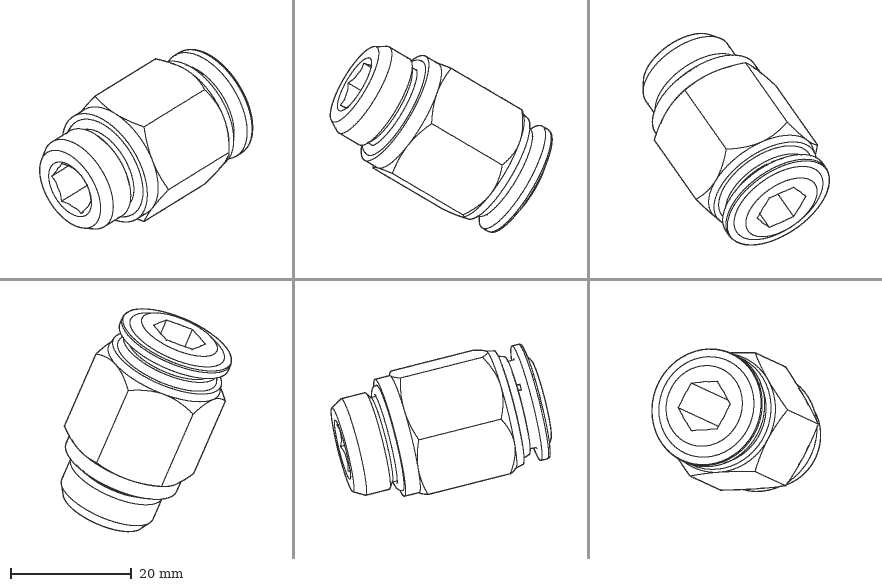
import cadquery as cq
import math

length = 34.0
hex_flats = 20.0
collar_radius = hex_flats / 2
hex_corner_radius = collar_radius / math.cos(math.pi / 6)

thread_chamfer_end = 1.87
thread_end = 5.95
relief_end = 6.65
seal_start = 7.2
collar_start = 8.1
hex_start = 10.6
hex_end = 27.15
shoulder_end = 28.5
cap_end = 29.92
flange_start = 31.55
flange_chamfer_start = 32.67
flange_end = 32.98

thread_tip_radius = 7.17
thread_radius = 8.25
relief_radius = 7.2
seal_radius = 8.98
shoulder_tip_radius = 9.72
cap_radius = 8.85
cap_tip_radius = 8.35
neck_radius = 7.48
flange_radius = 9.8
flange_face_radius = 9.7
button_base_radius = 8.43
button_tip_radius = 6.75
neck_fillet = 0.48

notch_width = 1.02
notch_length = 0.65
notch_depth = 0.17

edge_search_margin = 0.05

front_chamfer_angle = 30.0
back_chamfer_angle = 45.0

socket_flats = 8.0
bore_radius = 4.08
mouth_radius = 5.03
mouth_end_radius = socket_flats / 2
mouth_angle = 35.0
mouth_depth = (mouth_radius - mouth_end_radius) * math.tan(math.radians(mouth_angle))


def revolve_profile(points):
    """Solid of revolution about Y from (radius, station) points, closed along the axis."""
    axis_start = (0, points[0][1])
    axis_end = (0, points[-1][1])
    outline = cq.Workplane("XY").polyline([axis_start] + points + [axis_end]).close()
    return outline.revolve(360, (0, 0, 0), (0, 1, 0))


def hex_prism(flats, start, end):
    """Hexagonal bar along Y with corners on the X axis."""
    corner_diameter = flats / math.cos(math.pi / 6)
    plane = cq.Workplane("XZ", origin=(0, start, 0))
    return plane.polygon(6, corner_diameter).extrude(start - end)


def make_turned_body():
    body = revolve_profile([
        (thread_tip_radius, 0),
        (thread_radius, thread_chamfer_end),
        (thread_radius, thread_end),
        (relief_radius, relief_end),
        (relief_radius, collar_start),
        (collar_radius, collar_start),
        (collar_radius, hex_end),
        (shoulder_tip_radius, shoulder_end),
        (cap_radius, shoulder_end),
        (cap_tip_radius, cap_end),
        (neck_radius, cap_end),
        (neck_radius, flange_start),
        (flange_radius, flange_start),
        (flange_radius, flange_chamfer_start),
        (flange_face_radius, flange_end),
        (button_base_radius, flange_end),
        (button_tip_radius, length),
    ])
    corner_box = cq.selectors.BoxSelector(
        (-flange_radius, flange_start - edge_search_margin, -flange_radius),
        (flange_radius, flange_start + edge_search_margin, flange_radius),
        boundingbox=True,
    )
    neck_corner = cq.selectors.RadiusNthSelector(0)
    return body.edges(corner_box).edges("%CIRCLE").edges(neck_corner).fillet(neck_fillet)


def make_seal():
    """Half-round sealing ring against the front of the collar."""
    section_radius = collar_start - seal_start
    center_radius = seal_radius - section_radius
    section = (
        cq.Workplane("XY")
        .moveTo(seal_radius, collar_start)
        .threePointArc((center_radius, seal_start), (center_radius - section_radius, collar_start))
        .close()
    )
    return section.revolve(360, (0, 0, 0), (0, 1, 0))


def make_hexagon():
    corner_rise = hex_corner_radius - collar_radius
    front_drop = corner_rise * math.tan(math.radians(front_chamfer_angle))
    back_drop = corner_rise * math.tan(math.radians(back_chamfer_angle))
    envelope = revolve_profile([
        (collar_radius, hex_start),
        (hex_corner_radius, hex_start + front_drop),
        (hex_corner_radius, hex_end - back_drop),
        (collar_radius, hex_end),
    ])
    return hex_prism(hex_flats, hex_start, hex_end).intersect(envelope)


def make_passage():
    socket = hex_prism(socket_flats, 0, length)
    bore = cq.Workplane("XZ").circle(bore_radius).extrude(-length)
    mouth = revolve_profile([(mouth_radius, 0), (mouth_end_radius, mouth_depth)])
    return socket.union(bore).union(mouth)


def make_notch():
    """Cutter with a floor concentric with the neck."""
    floor_radius = neck_radius - notch_depth
    plane = cq.Workplane("XZ", origin=(0, cap_end, 0))
    sleeve = plane.circle(neck_radius + notch_depth).circle(floor_radius).extrude(-notch_length)
    window = plane.center(0, neck_radius).rect(notch_width, neck_radius).extrude(-notch_length)
    return sleeve.intersect(window)


result = make_turned_body().union(make_seal()).union(make_hexagon()).cut(make_passage()).cut(make_notch())